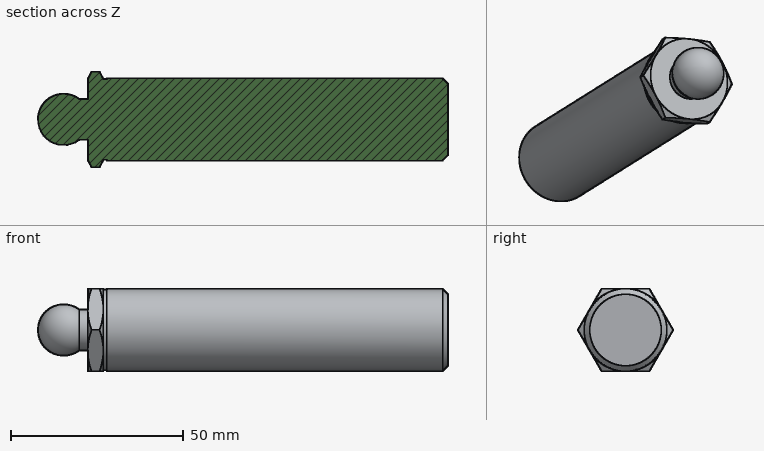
import cadquery as cq
import math

total_length = 119.0

body_diameter = 24.0
body_start = 20.0
body_end_chamfer = 1.624

ball_diameter = 15.0
neck_diameter = 12.0

hex_across_flats = 24.0
hex_start = 14.5
hex_thickness = 4.5
hex_chamfer_angle = math.radians(30)

groove_diameter = 23.5

ball_radius = ball_diameter / 2
neck_radius = neck_diameter / 2
ball_neck_x = ball_radius + math.sqrt(ball_radius**2 - neck_radius**2)
hex_sides = 6
hex_end = hex_start + hex_thickness
hex_face_radius = hex_across_flats / 2
hex_corner_radius = hex_face_radius / math.cos(math.pi / hex_sides)
hex_chamfer_depth = (hex_corner_radius - hex_face_radius) * math.tan(hex_chamfer_angle)


def revolve_about_x(half_profile):
    """Turn a closed half profile in the XY plane a full turn about the X axis."""
    return half_profile.revolve(360, (0, 0, 0), (1, 0, 0))


def cylinder_along_x(diameter, start, end):
    """Solid cylinder on the X axis between two positions."""
    return cq.Workplane("YZ", origin=(start, 0, 0)).circle(diameter / 2).extrude(end - start)


def make_ball_stud():
    """Ball and its neck, ending on the front face of the collar."""
    half_profile = (
        cq.Workplane("XY")
        .threePointArc((ball_radius, ball_radius), (ball_neck_x, neck_radius))
        .lineTo(hex_start, neck_radius)
        .lineTo(hex_start, 0)
        .close()
    )
    return revolve_about_x(half_profile)


def make_hex_collar():
    """Hexagonal prism with its corners turned off by a cone on both faces."""
    prism = (
        cq.Workplane("YZ", origin=(hex_start, 0, 0))
        .polygon(hex_sides, 2 * hex_corner_radius)
        .extrude(hex_thickness)
    )
    envelope_profile = (
        cq.Workplane("XY")
        .moveTo(hex_start, 0)
        .lineTo(hex_start, hex_face_radius)
        .lineTo(hex_start + hex_chamfer_depth, hex_corner_radius)
        .lineTo(hex_end - hex_chamfer_depth, hex_corner_radius)
        .lineTo(hex_end, hex_face_radius)
        .lineTo(hex_end, 0)
        .close()
    )
    return prism.intersect(revolve_about_x(envelope_profile))


def make_groove_core():
    """Reduced cylinder joining the collar to the body."""
    return cylinder_along_x(groove_diameter, hex_end, body_start)


def make_body():
    """Cylindrical body with a chamfered free end."""
    body = cylinder_along_x(body_diameter, body_start, total_length)
    return body.faces(">X").chamfer(body_end_chamfer)


part = (
    make_ball_stud()
    .union(make_hex_collar())
    .union(make_groove_core())
    .union(make_body())
)

result = part.translate((-ball_radius, 0, 0))